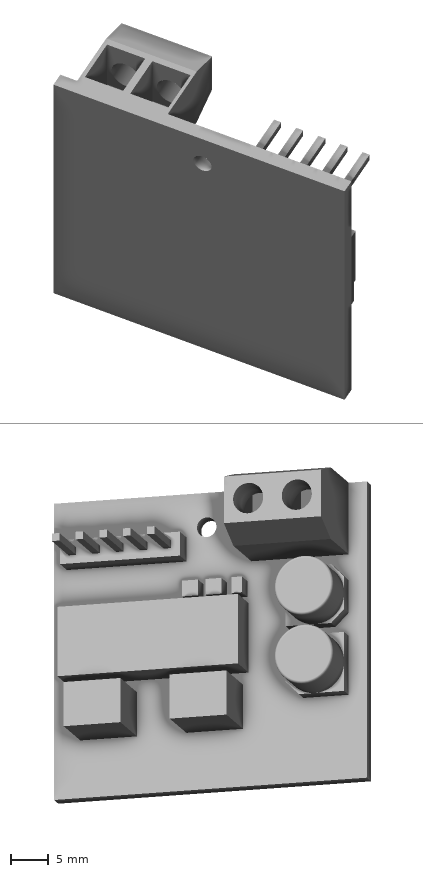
import cadquery as cq

BOARD_WIDTH = 42.9
BOARD_HEIGHT = 40.3
BOARD_THICKNESS = 2.0
MOUNT_HOLE_DIAMETER = 2.65
MOUNT_HOLE_X = 21.95
MOUNT_HOLE_Z = 35.6

WAY_COUNT = 2
TERMINAL_LEFT = 2.5
TERMINAL_WIDTH = 13.35
TERMINAL_REAR = 15.1
TERMINAL_SHOULDER = 10.55
TERMINAL_HEIGHT = 9.75
TERMINAL_TOP_DROP = 1.4
TERMINAL_BOTTOM_RISE = 1.97
WIRE_POCKET_WIDTH = 5.6
WIRE_POCKET_OFFSET = 0.6
WIRE_POCKET_FRONT = 3.1
WIRE_POCKET_REAR = 9.6
WIRE_POCKET_DEPTH = 7.72
SCREW_HOLE_DIAMETER = 4.1

CAPACITOR_DIAMETER = 8.02
CAPACITOR_BASE_HEIGHT = 2.15
CAPACITOR_REAR = 9.6
CAPACITOR_CORNER_CUT = 1.8
CAPACITOR_EDGE_RADIUS = 0.3
UPPER_CAPACITOR_BOTTOM = 20.8
LOWER_CAPACITOR_BOTTOM = 11.45

PIN_COUNT = 5
PIN_PITCH = 3.25
HEADER_LEFT = 24.7
HEADER_WIDTH = 16.45
HEADER_DEPTH = PIN_PITCH
HEADER_CENTER_Z = 32.78
PIN_SIZE = 1.05
PIN_REAR = 13.2

BLOCK_LEFT = 16.2
BLOCK_WIDTH = 24.75
BLOCK_DEPTH = 5.1
BLOCK_BOTTOM = 15.45
BLOCK_HEIGHT = 9.45

BOX_LEFTS = (17.0, 31.55)
BOX_WIDTH = 7.75
BOX_DEPTH = 7.9
BOX_BOTTOM = 7.85
BOX_HEIGHT = 6.0

CHIPS = ((16.4, 1.4), (19.18, 2.2), (22.4, 2.2))
CHIP_DEPTH = 2.6
CHIP_BOTTOM = 25.75
CHIP_HEIGHT = 2.15


def box_on_board(left, bottom, width, depth, height):
    """Box rising from the rear face of the board; depth runs along +Y."""
    corner = (left, BOARD_THICKNESS, bottom)
    return cq.Workplane("XY").box(width, depth, height, centered=False).translate(corner)


def rod(x, z, front, rear, diameter):
    """Round bar along Y between two Y positions."""
    plane = cq.Workplane("XZ", origin=(x, front, z))
    return plane.circle(diameter / 2).extrude(front - rear)


def board():
    plate = cq.Workplane("XY").box(BOARD_WIDTH, BOARD_THICKNESS, BOARD_HEIGHT, centered=False)
    return plate.cut(rod(MOUNT_HOLE_X, MOUNT_HOLE_Z, 0, BOARD_THICKNESS, MOUNT_HOLE_DIAMETER))


def terminal():
    top = BOARD_HEIGHT
    bottom = top - TERMINAL_HEIGHT
    profile = [
        (BOARD_THICKNESS, bottom),
        (TERMINAL_SHOULDER, bottom),
        (TERMINAL_REAR, bottom + TERMINAL_BOTTOM_RISE),
        (TERMINAL_REAR, top - TERMINAL_TOP_DROP),
        (TERMINAL_SHOULDER, top),
        (BOARD_THICKNESS, top),
    ]
    side = cq.Workplane("YZ", origin=(TERMINAL_LEFT, 0, 0))
    body = side.polyline(profile).close().extrude(TERMINAL_WIDTH)

    screw_z = (top - TERMINAL_TOP_DROP + bottom + TERMINAL_BOTTOM_RISE) / 2
    way_width = TERMINAL_WIDTH / WAY_COUNT
    pocket_length = WIRE_POCKET_REAR - WIRE_POCKET_FRONT
    for way in range(WAY_COUNT):
        pocket_left = TERMINAL_LEFT + WIRE_POCKET_OFFSET + way * way_width
        pocket = cq.Workplane("XY").box(
            WIRE_POCKET_WIDTH, pocket_length, WIRE_POCKET_DEPTH, centered=False
        ).translate((pocket_left, WIRE_POCKET_FRONT, top - WIRE_POCKET_DEPTH))
        screw_x = TERMINAL_LEFT + (way + 0.5) * way_width
        screw_hole = rod(screw_x, screw_z, WIRE_POCKET_REAR, TERMINAL_REAR, SCREW_HOLE_DIAMETER)
        body = body.cut(pocket).cut(screw_hole)
    return body


def capacitor(bottom, cut_side):
    """Capacitor flush with the terminal's left side.

    Its base has both corners cut on the side given as "<X" or ">X".
    """
    left = TERMINAL_LEFT
    size = CAPACITOR_DIAMETER
    base = box_on_board(left, bottom, size, CAPACITOR_BASE_HEIGHT, size)
    base = base.faces(cut_side).edges("|Y").chamfer(CAPACITOR_CORNER_CUT)
    can_front = BOARD_THICKNESS + CAPACITOR_BASE_HEIGHT
    can = rod(left + size / 2, bottom + size / 2, can_front, CAPACITOR_REAR, size)
    can = can.faces(">Y").edges().fillet(CAPACITOR_EDGE_RADIUS)
    return base.union(can)


def pin_header():
    bottom = HEADER_CENTER_Z - HEADER_DEPTH / 2
    header = box_on_board(HEADER_LEFT, bottom, HEADER_WIDTH, HEADER_DEPTH, HEADER_DEPTH)
    middle_x = HEADER_LEFT + HEADER_WIDTH / 2
    for index in range(PIN_COUNT):
        pin_x = middle_x + (index - (PIN_COUNT - 1) / 2) * PIN_PITCH
        header = header.union(
            box_on_board(
                pin_x - PIN_SIZE / 2,
                HEADER_CENTER_Z - PIN_SIZE / 2,
                PIN_SIZE,
                PIN_REAR - BOARD_THICKNESS,
                PIN_SIZE,
            )
        )
    return header


result = board().union(terminal()).union(pin_header())
result = result.union(capacitor(UPPER_CAPACITOR_BOTTOM, "<X"))
result = result.union(capacitor(LOWER_CAPACITOR_BOTTOM, ">X"))
result = result.union(box_on_board(BLOCK_LEFT, BLOCK_BOTTOM, BLOCK_WIDTH, BLOCK_DEPTH, BLOCK_HEIGHT))
for box_left in BOX_LEFTS:
    result = result.union(box_on_board(box_left, BOX_BOTTOM, BOX_WIDTH, BOX_DEPTH, BOX_HEIGHT))
for chip_left, chip_width in CHIPS:
    result = result.union(box_on_board(chip_left, CHIP_BOTTOM, chip_width, CHIP_DEPTH, CHIP_HEIGHT))